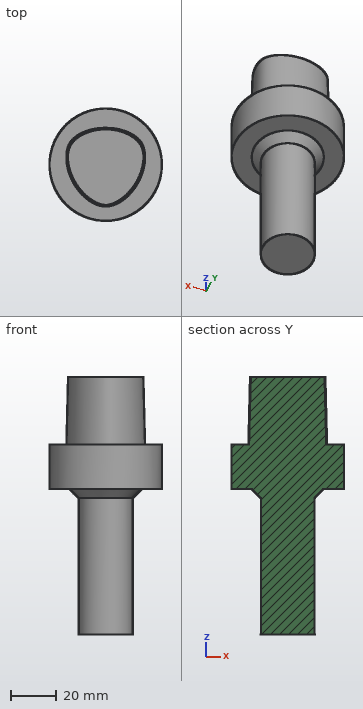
import cadquery as cq
import math

total_length = 114.5
flange_diameter = 50.0
flange_thickness = 19.9
bar_diameter = 24.0
collar_diameter = 32.1
collar_height = 4.0
shank_length = 30.0
shank_width = 35.0
taper_rate = 0.05
lobe_offset = 1.09
outline_steps = 72

shank_end_width = shank_width - taper_rate * shank_length
bar_bottom = shank_length - total_length


def lobed_point(width, angle):
    """Point of a constant-width outline with one lobe pointing to -Y."""
    along_lobe = (width / 2 * math.cos(angle)
                  + 2 * lobe_offset * math.cos(2 * angle)
                  - lobe_offset * math.cos(4 * angle))
    across_lobe = (width / 2 * math.sin(angle)
                   - 2 * lobe_offset * math.sin(2 * angle)
                   - lobe_offset * math.sin(4 * angle))
    return across_lobe, -along_lobe


def lobed_wire(width, height):
    points = []
    for step in range(outline_steps):
        x, y = lobed_point(width, 2 * math.pi * step / outline_steps)
        points.append(cq.Vector(x, y, height))
    return cq.Wire.assembleEdges([cq.Edge.makeSpline(points, periodic=True)])


def tapered_shank():
    base = lobed_wire(shank_width, 0)
    end = lobed_wire(shank_end_width, shank_length)
    return cq.Workplane(obj=cq.Solid.makeLoft([base, end], True))


def turned_body():
    """Flange, conical collar and bar as one revolved profile (radius, height)."""
    bar_radius = bar_diameter / 2
    flange_radius = flange_diameter / 2
    return (
        cq.Workplane("XZ")
        .moveTo(0, 0)
        .lineTo(flange_radius, 0)
        .lineTo(flange_radius, -flange_thickness)
        .lineTo(collar_diameter / 2, -flange_thickness)
        .lineTo(bar_radius, -flange_thickness - collar_height)
        .lineTo(bar_radius, bar_bottom)
        .lineTo(0, bar_bottom)
        .close()
        .revolve(360, (0, 0, 0), (0, 1, 0))
    )


result = turned_body().union(tapered_shank())